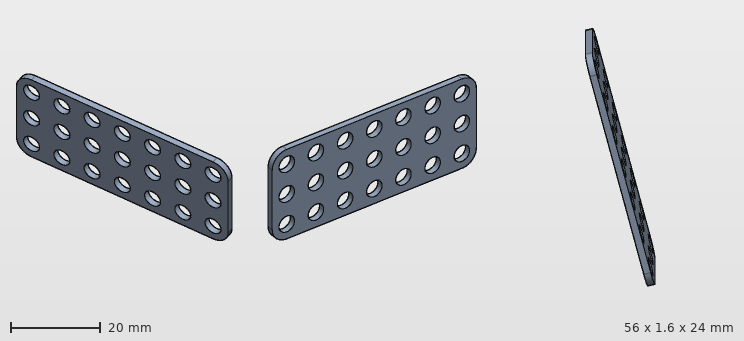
import cadquery as cq

length = 56.0
thickness = 1.6
hole_diameter = 4.2
columns = 7
rows = 3

pitch = length / columns
height = rows * pitch
corner_radius = pitch / 2

plate = (
    cq.Workplane("XY")
    .box(length, thickness, height)
    .edges("|Y")
    .fillet(corner_radius)
)

result = (
    plate.faces("<Y")
    .workplane(centerOption="CenterOfBoundBox")
    .rarray(pitch, pitch, columns, rows)
    .hole(hole_diameter)
)